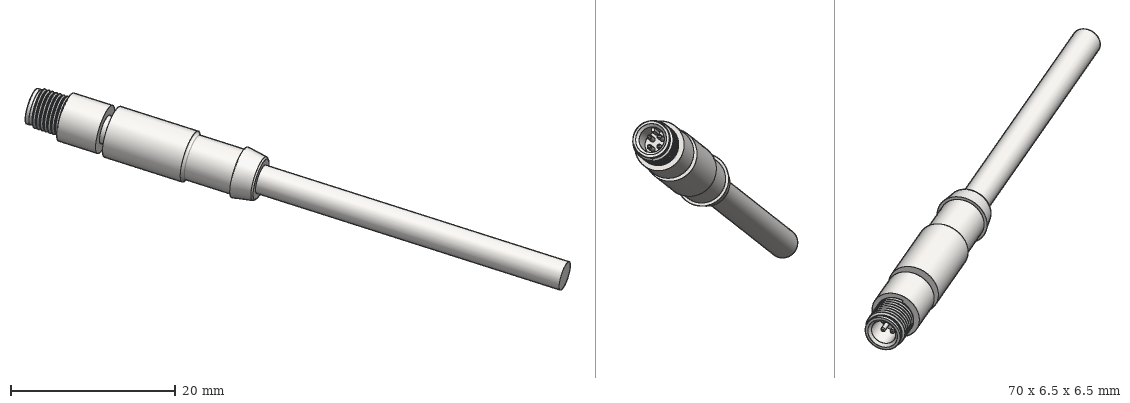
import cadquery as cq

total_length = 70.0
thread_start = 0.5
nut_front = 4.5
nut_back = 9.6
body_front = 10.6
body_back = 20.8
collar_front = 27.3
collar_back = 30.1

nose_diameter = 4.55
thread_diameter = 5.0
thread_root_diameter = 4.4
nut_diameter = 6.15
neck_diameter = 3.65
body_diameter = 6.5
grip_diameter = 5.75
collar_back_diameter = 5.6
cable_diameter = 3.65

collar_chamfer = 0.2

thread_pitch = 0.5
crest_flat = 0.1
root_gap = 0.035
ridge_embed = 0.035

socket_diameter = 3.15
socket_depth = 3.5
floor_embed = 0.35
mouth_diameter = 3.85
mouth_depth = 0.35

pin_diameter = 0.55
pin_offset = 0.61
pin_length = 1.9
pin_tip_chamfer = 0.15

key_width = 0.4
key_height = 0.4
key_front = 1.05


def make_outside():
    """Stepped round outside from the plug face to the cable end, without the thread ridge."""
    nose_radius = nose_diameter / 2
    root_radius = thread_root_diameter / 2
    nut_radius = nut_diameter / 2
    neck_radius = neck_diameter / 2
    body_radius = body_diameter / 2
    grip_radius = grip_diameter / 2
    step_radius = body_radius - grip_radius
    arc_inset = step_radius * (1 - 0.5**0.5)
    collar_radius = collar_back_diameter / 2
    cable_radius = cable_diameter / 2
    profile = (
        cq.Workplane("XZ")
        .moveTo(0, 0)
        .lineTo(0, nose_radius)
        .lineTo(thread_start, nose_radius)
        .lineTo(thread_start, root_radius)
        .lineTo(nut_front, root_radius)
        .lineTo(nut_front, nut_radius)
        .lineTo(nut_back, nut_radius)
        .lineTo(nut_back, neck_radius)
        .lineTo(body_front, neck_radius)
        .lineTo(body_front, body_radius)
        .lineTo(body_back, body_radius)
        .threePointArc(
            (body_back + arc_inset, grip_radius + arc_inset),
            (body_back + step_radius, grip_radius),
        )
        .lineTo(collar_front, grip_radius)
        .lineTo(collar_front, body_radius)
        .lineTo(collar_back - collar_chamfer, collar_radius)
        .lineTo(collar_back, collar_radius - collar_chamfer)
        .lineTo(collar_back, cable_radius)
        .lineTo(total_length, cable_radius)
        .lineTo(total_length, 0)
        .close()
    )
    return profile.revolve(360, (0, 0, 0), (1, 0, 0))


def make_thread():
    """Helical V ridge around the threaded section, ending buried in the nut."""
    crest_radius = thread_diameter / 2
    root_radius = thread_root_diameter / 2
    half_root_width = (thread_pitch - root_gap) / 2
    helix_length = nut_front - thread_start - half_root_width
    helix = cq.Wire.makeHelix(thread_pitch, helix_length, root_radius)
    ridge = (
        cq.Workplane("XZ")
        .polyline(
            [
                (root_radius - ridge_embed, half_root_width),
                (crest_radius, crest_flat / 2),
                (crest_radius, -crest_flat / 2),
                (root_radius - ridge_embed, -half_root_width),
            ]
        )
        .close()
        .sweep(cq.Workplane(helix), isFrenet=True)
    )
    ridge_start = thread_start + half_root_width
    return ridge.rotate((0, 0, 0), (0, 1, 0), 90).translate((ridge_start, 0, 0))


def make_socket():
    """Blind round socket that opens out in a conical mouth."""
    socket = cq.Workplane("YZ").circle(socket_diameter / 2).extrude(socket_depth)
    mouth = cq.Workplane("XY").add(
        cq.Solid.makeCone(
            mouth_diameter / 2,
            socket_diameter / 2,
            mouth_depth,
            dir=cq.Vector(1, 0, 0),
        )
    )
    return socket.union(mouth)


def make_pins():
    """Four contact pins standing on the socket floor, with chamfered tips."""
    return (
        cq.Workplane("YZ", origin=(socket_depth - pin_length, 0, 0))
        .rect(2 * pin_offset, 2 * pin_offset, forConstruction=True)
        .vertices()
        .circle(pin_diameter / 2)
        .extrude(pin_length + floor_embed)
        .faces("<X")
        .chamfer(pin_tip_chamfer)
    )


def make_key():
    """Rib along the top of the socket, rooted in its wall and floor."""
    wall_overlap = (nose_diameter - socket_diameter) / 4
    length = socket_depth - key_front + floor_embed
    rib = cq.Workplane("XY").box(
        length,
        key_width,
        key_height + wall_overlap,
        centered=(False, True, False),
    )
    return rib.translate((key_front, 0, socket_diameter / 2 - key_height))


plug = make_outside().union(make_thread()).cut(make_socket())
result = plug.union(make_pins()).union(make_key())